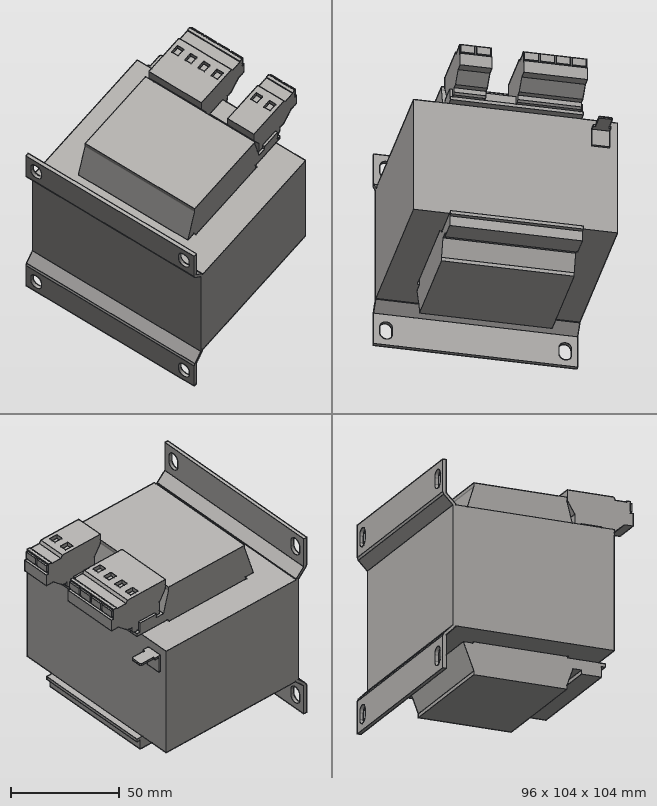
import cadquery as cq


WIDTH = 96.0
DEPTH = 104.0
HEIGHT = 104.0

PLATE_HEIGHT = 102.3
MID_Z = PLATE_HEIGHT / 2
FLANGE_THICKNESS = 1.9
FLANGE_END = 15.9
BEND_DROP = 1.2
BEND_SETBACK = 0.5
WEB_FRONT = 5.1
WEB_THICKNESS = 1.5
SLOT_SPACING = 84.3
SLOT_FROM_EDGE = 7.8
SLOT_WIDTH = 5.9
SLOT_LENGTH = 9.2

CORE_FRONT = WEB_FRONT + WEB_THICKNESS
CORE_BACK = 86.5
CORE_HALF_HEIGHT = 29.7
WINDOW_WIDTH = 64.3
WINDOW_FRONT = 22.8
WINDOW_BACK = 70.4

BOBBIN_WIDTH = 62.4
BOBBIN_BASE = 30.0
COIL_TOP = 48.7
SHOULDER_TOP = 46.8
COIL_BOTTOM = 45.4
SHOULDER_BOTTOM = 43.5
LIP_HEIGHT = 31.6
LEDGE_HEIGHT = 34.9
RAIL_HEIGHT = 36.8
BOBBIN_FRONT = 17.9
COIL_FRONT = 23.2
COIL_BACK = 70.0
LEDGE_FRONT = 73.1
RAIL_FRONT = 77.4
RAIL_BACK = 87.5
LIP_BACK = 89.5

TERMINAL_WIDTH = 15.0
TERMINAL_LEFT_SIDES = (-2 * TERMINAL_WIDTH, -TERMINAL_WIDTH, TERMINAL_WIDTH)
TERMINAL_FRONT = 70.9
TERMINAL_FRONT_BOTTOM = 98.7
LEG_FRONT = 74.6
LEG_TOP = 92.6
HOOK_BOTTOM = 83.2
HOOK_BACK = 91.3
HOOK_BEVEL = 0.9
UNDERSIDE = 86.6
UNDERSIDE_BACK = 94.1
NOSE_BOTTOM = 91.3
NOSE_FRONT = 99.7
NOSE_TOP = 97.5
RECESS_HEIGHT = 102.6
RECESS_FRONT = 95.1
RECESS_SLOPE = 0.9
RIDGE_HEIGHT = 103.1
RIDGE_FRONT = 100.8
CELL_PITCH = TERMINAL_WIDTH / 2
MARKER_WIDTH = 6.6
MARKER_BACK = 103.6
MARKER_FRONT = 102.7
MARKER_BOTTOM = 98.5
MARKER_TOP = 102.4
POCKET_WIDTH = 3.6
POCKET_LENGTH = 4.5
POCKET_DEPTH = 2.1
POCKET_Y = 88.2

TAB_X = -40.0
TAB_BASE_WIDTH = 8.3
TAB_BLADE_WIDTH = 6.3
TAB_THICKNESS = 1.0
TAB_TOP = 76.3
TAB_BOTTOM = 66.8
TAB_BASE_BACK = 89.9
TAB_TIP = 98.1
TAB_CORNER = 0.9
TAB_TIP_BEVEL = 0.4


def box(x_range, y_range, z_range):
    """Box between the given limits."""
    (x0, x1), (y0, y1), (z0, z1) = x_range, y_range, z_range
    return cq.Workplane("XY").box(x1 - x0, y1 - y0, z1 - z0, centered=False).translate((x0, y0, z0))


def side_profile(points, left, width):
    """Outline given as (Y, Z) points, extruded along +X from left."""
    return cq.Workplane("YZ", origin=(left, 0, 0)).polyline(points).close().extrude(width)


def mirrored_below(upper):
    """Mirror image of a body below the middle of the core."""
    return upper.mirror("XY", (0, 0, MID_Z))


def mounting_plate():
    upper_flat = PLATE_HEIGHT - FLANGE_END
    slope_top = upper_flat - BEND_DROP
    slope_run = WEB_FRONT - BEND_SETBACK
    slope_bottom = slope_top - slope_run
    back_bend = slope_bottom + WEB_THICKNESS / 2
    back_rise = CORE_FRONT - FLANGE_THICKNESS
    upper = side_profile(
        [
            (0, PLATE_HEIGHT),
            (0, upper_flat),
            (BEND_SETBACK, slope_top),
            (WEB_FRONT, slope_bottom),
            (WEB_FRONT, MID_Z),
            (CORE_FRONT, MID_Z),
            (CORE_FRONT, back_bend),
            (FLANGE_THICKNESS, back_bend + back_rise),
            (FLANGE_THICKNESS, PLATE_HEIGHT),
        ],
        -WIDTH / 2,
        WIDTH,
    )
    slot_z = PLATE_HEIGHT - SLOT_FROM_EDGE
    slots = (
        cq.Workplane("XZ")
        .pushPoints([(-SLOT_SPACING / 2, slot_z), (SLOT_SPACING / 2, slot_z)])
        .slot2D(SLOT_LENGTH, SLOT_WIDTH, 90)
        .extrude(-FLANGE_THICKNESS)
    )
    upper = upper.cut(slots)
    return upper.union(mirrored_below(upper))


def core():
    z_range = (MID_Z - CORE_HALF_HEIGHT, MID_Z + CORE_HALF_HEIGHT)
    half_width = WIDTH / 2
    half_window = WINDOW_WIDTH / 2
    main_stack = box((-half_width, half_width), (CORE_FRONT, WINDOW_BACK), z_range)
    window = box((-half_window, half_window), (WINDOW_FRONT, WINDOW_BACK), z_range)
    yoke = box((-half_width, half_width), (WINDOW_BACK, CORE_BACK), z_range)
    return main_stack.cut(window).union(yoke)


def bobbin_half(coil_height, shoulder_height):
    """Part of the bobbin standing on top of the core."""
    return side_profile(
        [
            (BOBBIN_FRONT, MID_Z + BOBBIN_BASE),
            (COIL_FRONT, MID_Z + shoulder_height),
            (COIL_FRONT, MID_Z + coil_height),
            (COIL_BACK, MID_Z + coil_height),
            (COIL_BACK, MID_Z + shoulder_height),
            (LEDGE_FRONT, MID_Z + LEDGE_HEIGHT),
            (RAIL_FRONT, MID_Z + LEDGE_HEIGHT),
            (RAIL_FRONT, MID_Z + RAIL_HEIGHT),
            (RAIL_BACK, MID_Z + RAIL_HEIGHT),
            (RAIL_BACK, MID_Z + LIP_HEIGHT),
            (LIP_BACK, MID_Z + LIP_HEIGHT),
            (LIP_BACK, MID_Z + BOBBIN_BASE),
        ],
        -BOBBIN_WIDTH / 2,
        BOBBIN_WIDTH,
    )


def bobbin():
    upper = bobbin_half(COIL_TOP, SHOULDER_TOP)
    lower = mirrored_below(bobbin_half(COIL_BOTTOM, SHOULDER_BOTTOM))
    coil = box(
        (-BOBBIN_WIDTH / 2, BOBBIN_WIDTH / 2),
        (WINDOW_FRONT, WINDOW_BACK),
        (MID_Z - BOBBIN_BASE, MID_Z + BOBBIN_BASE),
    )
    return coil.union(upper).union(lower)


def terminal_block(left):
    rail_top = MID_Z + RAIL_HEIGHT
    ledge = MID_Z + LEDGE_HEIGHT
    body = side_profile(
        [
            (TERMINAL_FRONT, HEIGHT),
            (TERMINAL_FRONT, TERMINAL_FRONT_BOTTOM),
            (LEG_FRONT, LEG_TOP),
            (LEG_FRONT, ledge),
            (RAIL_FRONT, ledge),
            (RAIL_FRONT, rail_top),
            (RAIL_BACK, rail_top),
            (RAIL_BACK, HOOK_BOTTOM),
            (HOOK_BACK - HOOK_BEVEL, HOOK_BOTTOM),
            (HOOK_BACK, HOOK_BOTTOM + HOOK_BEVEL),
            (HOOK_BACK, UNDERSIDE),
            (UNDERSIDE_BACK, UNDERSIDE),
            (NOSE_FRONT, NOSE_BOTTOM),
            (DEPTH, NOSE_BOTTOM),
            (DEPTH, NOSE_TOP),
            (MARKER_FRONT, NOSE_TOP),
            (MARKER_FRONT, RIDGE_HEIGHT),
            (RIDGE_FRONT, RIDGE_HEIGHT),
            (RIDGE_FRONT, RECESS_HEIGHT),
            (RECESS_FRONT, RECESS_HEIGHT),
            (RECESS_FRONT - RECESS_SLOPE, HEIGHT),
        ],
        left,
        TERMINAL_WIDTH,
    )
    for cell_x in (left + CELL_PITCH / 2, left + CELL_PITCH * 3 / 2):
        marker = box(
            (cell_x - MARKER_WIDTH / 2, cell_x + MARKER_WIDTH / 2),
            (MARKER_FRONT, MARKER_BACK),
            (MARKER_BOTTOM, MARKER_TOP),
        )
        pocket = box(
            (cell_x - POCKET_WIDTH / 2, cell_x + POCKET_WIDTH / 2),
            (POCKET_Y - POCKET_LENGTH / 2, POCKET_Y + POCKET_LENGTH / 2),
            (HEIGHT - POCKET_DEPTH, HEIGHT),
        )
        body = body.union(marker).cut(pocket)
    return body


def earth_tab():
    def plate(width, y_end, z_bottom):
        return box((TAB_X - width / 2, TAB_X + width / 2), (CORE_BACK, y_end), (z_bottom, TAB_TOP))

    blade = plate(TAB_BLADE_WIDTH, TAB_TIP, TAB_TOP - TAB_THICKNESS)
    blade = blade.edges("|Z and >Y").chamfer(TAB_CORNER)
    blade = blade.faces(">Y").edges("|X").chamfer(TAB_TIP_BEVEL)
    shoulder = plate(TAB_BASE_WIDTH, TAB_BASE_BACK, TAB_TOP - TAB_THICKNESS)
    foot = plate(TAB_BASE_WIDTH, CORE_BACK + TAB_THICKNESS, TAB_BOTTOM)
    return foot.union(shoulder).union(blade)


result = core().union(mounting_plate()).union(bobbin()).union(earth_tab())
for left_side in TERMINAL_LEFT_SIDES:
    result = result.union(terminal_block(left_side))